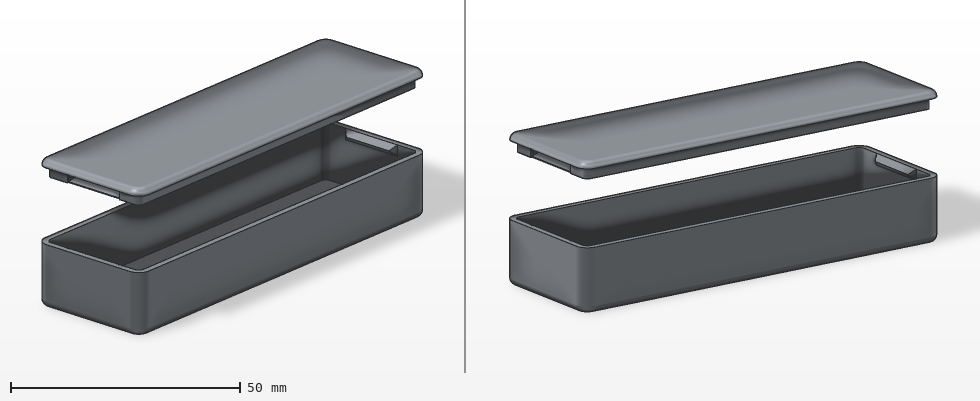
import cadquery as cq

LENGTH = 96.0
WIDTH = 30.0
BOX_HEIGHT = 15.0
WALL = 1.5
CORNER_RADIUS = 3.0
EDGE_ROUND = 1.5

LID_UNDERSIDE = 32.9
LID_THICKNESS = EDGE_ROUND
PLUG_HEIGHT = 2.8
PLUG_CLEARANCE = 0.16
PLUG_INSET = WALL + PLUG_CLEARANCE

RIDGE_LENGTH = 15.0
RIDGE_HEIGHT = 2.7
RIDGE_DEPTH = RIDGE_HEIGHT / 2
GROOVE_LENGTH = RIDGE_LENGTH
GROOVE_HEIGHT = 2.6
GROOVE_DEPTH = GROOVE_HEIGHT / 2
RELIEF_DEPTH = 0.4

PLUG_BOTTOM = LID_UNDERSIDE - PLUG_HEIGHT
LID_TOP = LID_UNDERSIDE + LID_THICKNESS


def rounded_block(inset, bottom, height):
    """Upright block with its sides set in from the outer outline by inset."""
    return (
        cq.Workplane("XY", origin=(0, 0, bottom))
        .rect(WIDTH - 2 * inset, LENGTH - 2 * inset)
        .extrude(height)
        .edges("|Z")
        .fillet(CORNER_RADIUS - inset)
    )


def snap_wedge(length, height, depth, face_y, top):
    """V-shaped bar with sloped ends, based on the plane y = face_y and narrowing towards +Y."""
    half_length = length / 2
    crest_half_length = half_length - depth
    bottom = top - height
    crest_y = face_y + depth
    crest_z = top - height / 2
    upper_left = cq.Vector(-half_length, face_y, top)
    upper_right = cq.Vector(half_length, face_y, top)
    lower_left = cq.Vector(-half_length, face_y, bottom)
    lower_right = cq.Vector(half_length, face_y, bottom)
    crest_left = cq.Vector(-crest_half_length, crest_y, crest_z)
    crest_right = cq.Vector(crest_half_length, crest_y, crest_z)
    outlines = [
        [upper_left, upper_right, lower_right, lower_left],
        [upper_left, upper_right, crest_right, crest_left],
        [lower_left, lower_right, crest_right, crest_left],
        [upper_left, lower_left, crest_left],
        [upper_right, lower_right, crest_right],
    ]
    faces = [cq.Face.makeFromWires(cq.Wire.makePolygon(points, close=True)) for points in outlines]
    return cq.Workplane(cq.Solid.makeSolid(cq.Shell.makeShell(faces)))


def on_both_ends(wedge):
    """The wedge at the -Y end and its mirror image at the +Y end."""
    return [wedge, wedge.mirror("XZ")]


def make_box():
    """Open tray with a rounded bottom edge and a snap ridge inside each end wall."""
    box = rounded_block(0, 0, BOX_HEIGHT).faces("<Z").edges().fillet(EDGE_ROUND)
    box = box.cut(rounded_block(WALL, WALL, BOX_HEIGHT - WALL))
    inner_wall_y = -LENGTH / 2 + WALL
    ridge = snap_wedge(RIDGE_LENGTH, RIDGE_HEIGHT, RIDGE_DEPTH, inner_wall_y, BOX_HEIGHT)
    for end_ridge in on_both_ends(ridge):
        box = box.union(end_ridge)
    return box


def make_lid():
    """Plate with a rounded top edge and a plug that has a relieved snap groove in each end."""
    plate = rounded_block(0, PLUG_BOTTOM, LID_TOP - PLUG_BOTTOM).faces(">Z").edges().fillet(EDGE_ROUND)
    plate = plate.cut(cq.Workplane("XY", origin=(0, 0, PLUG_BOTTOM)).rect(WIDTH, LENGTH).extrude(PLUG_HEIGHT))
    lid = plate.union(rounded_block(PLUG_INSET, PLUG_BOTTOM, PLUG_HEIGHT))
    plug_end_y = -LENGTH / 2 + PLUG_INSET
    relief = (
        cq.Workplane("XY", origin=(0, plug_end_y + RELIEF_DEPTH / 2, PLUG_BOTTOM))
        .rect(GROOVE_LENGTH, RELIEF_DEPTH)
        .extrude(PLUG_HEIGHT)
    )
    groove_y = plug_end_y + RELIEF_DEPTH
    groove = relief.union(snap_wedge(GROOVE_LENGTH, GROOVE_HEIGHT, GROOVE_DEPTH, groove_y, LID_UNDERSIDE))
    for end_groove in on_both_ends(groove):
        lid = lid.cut(end_groove)
    return lid


box = make_box()
lid = make_lid()
result = cq.Compound.makeCompound([box.solids().val(), lid.solids().val()])